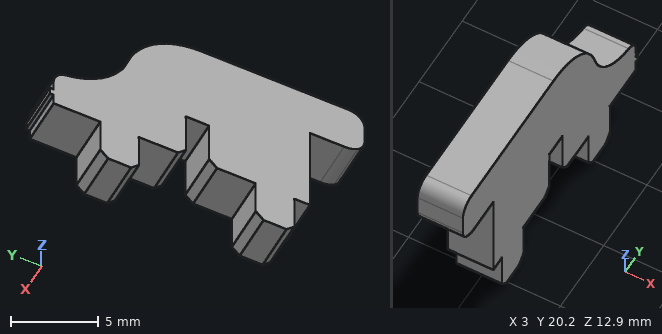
import cadquery as cq
import math

thickness = 3.0
overall_length = 20.25
overall_height = 12.9
nub_length = 0.25
nub_height = 0.5
nub_bottom = 3.75
base_height = 3.0
foot_start = 3.0
foot_width = 2.5
foot_pitch = 10.0
chamfer = 0.5
slot_start = 8.5
slot_width = 1.5
slot_depth = 3.5
back_face = 16.5
arm_height = 3.48
arm_flat_end = 18.7
arm_round_drop = 2.39
corner_radius = 1.0
sweep_radius = 5.0
hollow_centre_z = 10.9

body_length = overall_length - nub_length
arm_bottom = overall_height - arm_height


def point_on_circle(centre, radius, angle):
    return (centre[0] + radius * math.cos(angle), centre[1] + radius * math.sin(angle))


def direction(start, end):
    return math.atan2(end[1] - start[1], end[0] - start[0])


def arc_to(outline, start, centre, end):
    """Add the shorter arc from start to end about centre."""
    middle = ((start[0] + end[0]) / 2, (start[1] + end[1]) / 2)
    radius = math.dist(centre, end)
    through = point_on_circle(centre, radius, direction(centre, middle))
    return outline.threePointArc(through, end)


def make_body():
    """Side outline in the YZ plane: nose face at Y = 0, tail towards -Y."""
    hollow_centre = (0, hollow_centre_z)
    crown_centre_z = overall_height - sweep_radius
    crown_offset = math.sqrt((2 * sweep_radius) ** 2 - (hollow_centre_z - crown_centre_z) ** 2)
    crown_centre = (-crown_offset, crown_centre_z)
    centre_gap = sweep_radius + corner_radius
    nose_centre = (
        -corner_radius,
        hollow_centre_z - math.sqrt(centre_gap**2 - corner_radius**2),
    )
    nose_start = (0, nose_centre[1])
    nose_end = point_on_circle(nose_centre, corner_radius, direction(nose_centre, hollow_centre))
    inflection = point_on_circle(hollow_centre, sweep_radius, direction(hollow_centre, crown_centre))
    crown_end = (crown_centre[0], overall_height)

    tail_centre_y = corner_radius - body_length
    tail_top_start = (tail_centre_y, overall_height)
    tail_top_centre = (tail_centre_y, overall_height - corner_radius)
    tail_top_end = (-body_length, tail_top_centre[1])
    tail_low_centre = (tail_centre_y, overall_height - arm_round_drop)
    tail_low_start = (-body_length, tail_low_centre[1])
    underside_end = (-arm_flat_end, arm_bottom)
    blend_run = underside_end[0] - tail_low_centre[0]
    blend_drop = tail_low_centre[1] - corner_radius - arm_bottom
    radius_gain = (blend_run**2 + blend_drop**2) / (2 * blend_drop)
    blend_centre = (-arm_flat_end, arm_bottom + corner_radius + radius_gain)
    tail_low_end = point_on_circle(
        tail_low_centre, corner_radius, direction(blend_centre, tail_low_centre)
    )

    outline = cq.Workplane("YZ").moveTo(0, base_height).lineTo(*nose_start)
    outline = arc_to(outline, nose_start, nose_centre, nose_end)
    outline = arc_to(outline, nose_end, hollow_centre, inflection)
    outline = arc_to(outline, inflection, crown_centre, crown_end)
    outline = outline.lineTo(*tail_top_start)
    outline = arc_to(outline, tail_top_start, tail_top_centre, tail_top_end)
    outline = outline.lineTo(*tail_low_start)
    outline = arc_to(outline, tail_low_start, tail_low_centre, tail_low_end)
    outline = arc_to(outline, tail_low_end, blend_centre, underside_end)
    outline = outline.lineTo(-back_face, arm_bottom).lineTo(-back_face, base_height)
    return outline.close().extrude(thickness)


def make_foot(start):
    end = start + foot_width
    points = [
        (-start, base_height),
        (-start, chamfer),
        (-start - chamfer, 0),
        (-end + chamfer, 0),
        (-end, chamfer),
        (-end, base_height),
    ]
    return cq.Workplane("YZ").polyline(points).close().extrude(thickness)


def make_slot():
    """Upright slot through the thickness with a chamfered mouth."""
    end = slot_start + slot_width
    mouth_top = base_height + chamfer
    slot_top = base_height + slot_depth
    points = [
        (-slot_start + chamfer, base_height),
        (-slot_start, mouth_top),
        (-slot_start, slot_top),
        (-end, slot_top),
        (-end, mouth_top),
        (-end - chamfer, base_height),
    ]
    return cq.Workplane("YZ").polyline(points).close().extrude(thickness)


def make_nub():
    """Small full-width ridge on the nose face."""
    ridge = cq.Workplane("XY").box(thickness, nub_length, nub_height, centered=False)
    return ridge.translate((0, 0, nub_bottom))


result = make_body().cut(make_slot()).union(make_nub())
for foot in range(2):
    result = result.union(make_foot(foot_start + foot * foot_pitch))